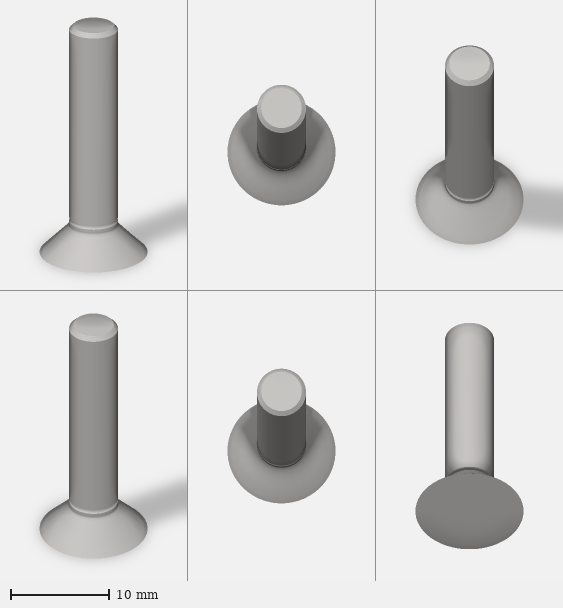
import cadquery as cq
import math

total_length = 25.0
head_diameter = 11.03
cone_half_angle = 45.0
shank_diameter = 5.0
core_diameter = 4.134
thread_start = 3.9
junction_radius = 0.2

head_radius = head_diameter / 2
shank_radius = shank_diameter / 2
core_radius = core_diameter / 2
thread_depth = shank_radius - core_radius
head_height = (head_radius - shank_radius) / math.tan(math.radians(cone_half_angle))
neck_top = thread_start - thread_depth
chamfer_start = total_length - thread_depth

tangent_length = junction_radius * math.tan(math.radians(cone_half_angle / 2))
fillet_top = head_height + tangent_length
fillet_bottom = head_height - tangent_length * math.cos(math.radians(cone_half_angle))
fillet_outer_radius = shank_radius + tangent_length * math.sin(math.radians(cone_half_angle))
half_turn = math.radians(cone_half_angle / 2)
fillet_middle = (
    shank_radius + junction_radius * (1 - math.cos(half_turn)),
    fillet_top - junction_radius * math.sin(half_turn),
)


def screw_profile():
    """Half section of the screw as (radius, height), closed along the axis."""
    return (
        cq.Workplane("XZ")
        .moveTo(0, 0)
        .lineTo(head_radius, 0)
        .lineTo(fillet_outer_radius, fillet_bottom)
        .threePointArc(fillet_middle, (shank_radius, fillet_top))
        .lineTo(shank_radius, neck_top)
        .lineTo(core_radius, thread_start)
        .lineTo(shank_radius, thread_start)
        .lineTo(shank_radius, chamfer_start)
        .lineTo(core_radius, total_length)
        .lineTo(0, total_length)
        .close()
    )


result = screw_profile().revolve(360, (0, 0, 0), (0, 1, 0))